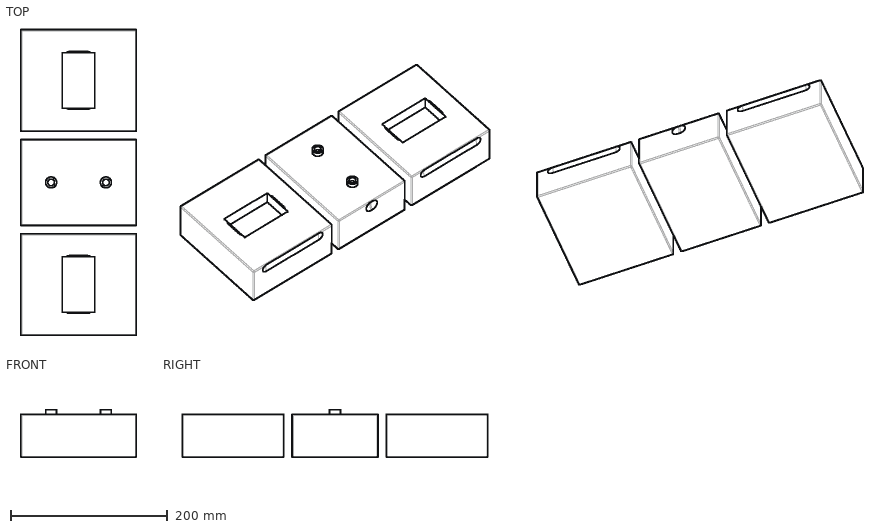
import cadquery as cq
import math

total_length = 390.0
block_width = 148.0
block_height = 55.0
total_height = 61.0
end_block_length = 130.0
middle_block_length = 110.0
edge_radius = 1.5

pocket_width = 41.5
pocket_length = 71.0
pocket_depth = 17.0

ledge_length = 34.5
ledge_width = 12.0
ledge_setback = 1.45
ledge_depth = 0.5

long_groove_height = 12.0
long_groove_length = 98.5
long_groove_ball_radius = 10.0
short_groove_height = 16.0
short_groove_length = 18.0
short_groove_ball_radius = 12.0
groove_top = 53.5

stud_diameter = 14.0
stud_bore_diameter = 8.5
stud_spacing = 70.0

end_block_offset = (total_length - end_block_length) / 2
stud_height = total_height - block_height


def rounded_block(length):
    block = cq.Workplane("XY").box(block_width, length, block_height, centered=(True, True, False))
    return block.edges().fillet(edge_radius)


def side_groove(length, height, ball_radius):
    """Space swept by the ball; it meets the -X side in an outline of this length and height."""
    half_travel = (length - height) / 2
    half_reach = half_travel + ball_radius
    diagonal = ball_radius * math.sqrt(0.5)
    capsule = (
        cq.Workplane("XY")
        .moveTo(0, -half_reach)
        .threePointArc((diagonal, -half_travel - diagonal), (ball_radius, -half_travel))
        .lineTo(ball_radius, half_travel)
        .threePointArc((diagonal, half_travel + diagonal), (0, half_reach))
        .close()
        .revolve(360, (0, 0, 0), (0, 1, 0))
    )
    axis_distance = math.sqrt(ball_radius**2 - (height / 2) ** 2)
    return capsule.translate((-block_width / 2 - axis_distance, 0, groove_top - height / 2))


def pocket_ledge(side):
    """Slot along X that overlaps the pocket and reaches just beyond one end wall."""
    center_y = side * (pocket_length / 2 + ledge_setback - ledge_width / 2)
    slot = cq.Workplane("XY", origin=(0, center_y, block_height - ledge_depth))
    return slot.slot2D(ledge_length, ledge_width).extrude(ledge_depth)


def make_end_block(center_y):
    block = rounded_block(end_block_length)
    pocket = cq.Workplane("XY").box(pocket_width, pocket_length, pocket_depth, centered=(True, True, False))
    block = block.cut(pocket.translate((0, 0, block_height - pocket_depth)))
    for side in (-1, 1):
        block = block.cut(pocket_ledge(side))
    block = block.cut(side_groove(long_groove_length, long_groove_height, long_groove_ball_radius))
    return block.translate((0, center_y, 0))


def make_middle_block():
    studs = (
        cq.Workplane("XY", origin=(0, 0, block_height))
        .rarray(stud_spacing, 4, 2, 1)
        .circle(stud_diameter / 2)
        .circle(stud_bore_diameter / 2)
        .extrude(stud_height)
    )
    block = rounded_block(middle_block_length).union(studs)
    groove = side_groove(short_groove_length, short_groove_height, short_groove_ball_radius)
    return block.cut(groove)


end_blocks = [make_end_block(side * end_block_offset) for side in (-1, 1)]
middle_block = make_middle_block()

result = cq.Compound.makeCompound([*[block.val() for block in end_blocks], middle_block.val()])